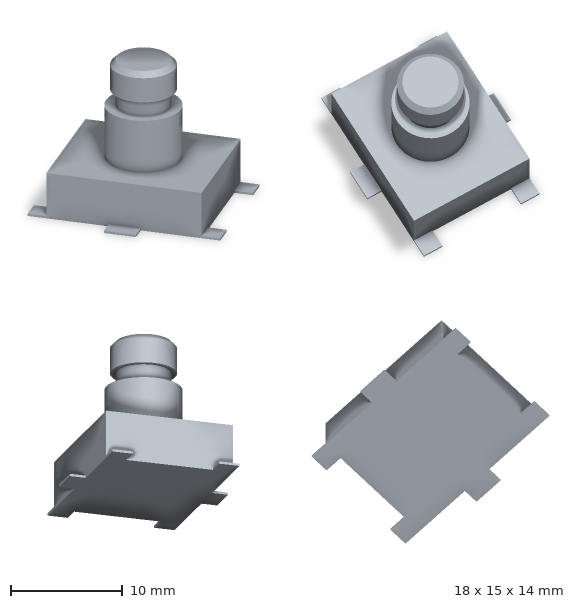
import cadquery as cq

overall_length = 18.0
overall_width = 15.0
overall_height = 14.0

body_length = 14.5
body_width = 12.0
body_height = 4.46

collar_diameter = 7.0
neck_diameter = 5.0
head_diameter = 6.0
collar_top = 9.54
neck_top = 11.12
head_chamfer = (head_diameter - neck_diameter) / 2

lead_thickness = 0.22
corner_lead_width = 1.93
middle_lead_width = 3.0
middle_lead_offset = 0.07


def base_box(length, width, height, x=0, y=0):
    """Box standing on the base plane, centred on (x, y)."""
    return cq.Workplane("XY").center(x, y).box(length, width, height, centered=(True, True, False))


def stage(diameter, bottom, top):
    """Upright cylinder on the plunger axis."""
    return cq.Workplane("XY").workplane(offset=bottom).circle(diameter / 2).extrude(top - bottom)


result = base_box(body_length, body_width, body_height)
result = result.union(stage(collar_diameter, body_height, collar_top))
result = result.union(stage(neck_diameter, collar_top, neck_top))
head = stage(head_diameter, neck_top, overall_height).faces(">Z").chamfer(head_chamfer)
result = result.union(head)

corner_lead_y = (body_width - corner_lead_width) / 2
for side in (-1, 1):
    result = result.union(
        base_box(overall_length, corner_lead_width, lead_thickness, y=side * corner_lead_y)
    )

middle_lead_length = overall_width / 2
for side in (-1, 1):
    result = result.union(
        base_box(
            middle_lead_width,
            middle_lead_length,
            lead_thickness,
            x=-side * middle_lead_offset,
            y=side * middle_lead_length / 2,
        )
    )